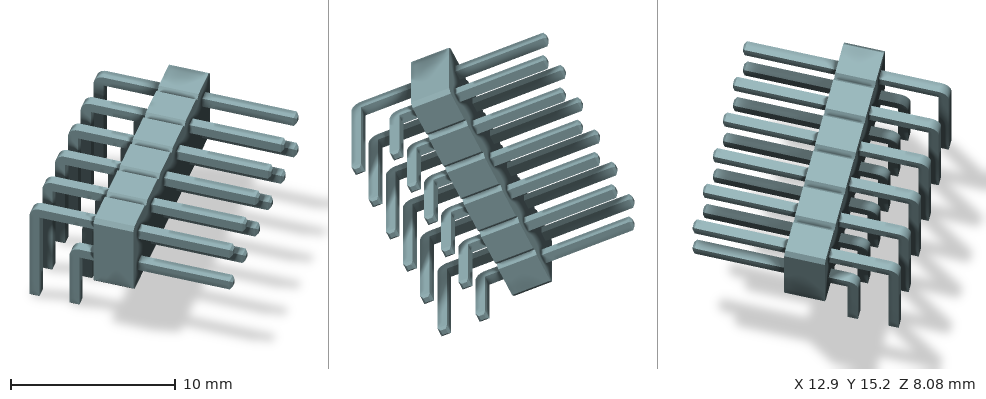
import cadquery as cq

positions = 6
rows = 2
length = 15.24
overall_width = 12.9
overall_height = 8.08
pitch = length / positions

body_x = 4.37
body_width = pitch
body_height = rows * pitch
body_bottom = overall_height - body_height
notch_depth = 0.26

pin_size = 0.64
tip_length = 0.15
tip_inset = 0.15
upper_row_z = overall_height - pitch / 2


def make_segment(center_y):
    """One insulator segment, an octagon in YZ extruded along X."""
    return (
        cq.Workplane("XY")
        .box(body_width, pitch, body_height, centered=(False, True, False))
        .edges("|X")
        .chamfer(notch_depth)
        .translate((body_x, center_y, body_bottom))
    )


def make_tip(plane):
    """Square frustum tapering along the normal of a plane at the pin end."""
    end_size = pin_size - 2 * tip_inset
    return (
        cq.Workplane(plane)
        .rect(pin_size, pin_size)
        .workplane(offset=tip_length)
        .rect(end_size, end_size)
        .loft(combine=True)
    )


def make_pin(leg_x, center_y, center_z):
    """Bent pin: outer face of its leg at leg_x, horizontal axis at center_z."""
    top = center_z + pin_size / 2
    underside = center_z - pin_size / 2
    leg_inner_x = leg_x + pin_size
    contact_end = overall_width - tip_length

    bent_bar = (
        cq.Workplane("XZ", origin=(0, center_y, 0))
        .moveTo(leg_x, tip_length)
        .lineTo(leg_x, underside)
        .radiusArc((leg_inner_x, top), pin_size)
        .lineTo(contact_end, top)
        .lineTo(contact_end, underside)
        .lineTo(leg_inner_x, underside)
        .lineTo(leg_inner_x, tip_length)
        .close()
        .extrude(pin_size / 2, both=True)
    )
    contact_plane = cq.Plane(origin=(contact_end, center_y, center_z), xDir=(0, 1, 0), normal=(1, 0, 0))
    leg_plane = cq.Plane(
        origin=(leg_x + pin_size / 2, center_y, tip_length), xDir=(1, 0, 0), normal=(0, 0, -1)
    )
    return bent_bar.union(make_tip(contact_plane)).union(make_tip(leg_plane))


segment_centers = [(i + 0.5) * pitch - length / 2 for i in range(positions)]

result = make_segment(segment_centers[0])
for center_y in segment_centers[1:]:
    result = result.union(make_segment(center_y))

for center_y in segment_centers:
    for row in range(rows):
        pin = make_pin(row * pitch, center_y, upper_row_z - row * pitch)
        result = result.union(pin)

result = result.clean()